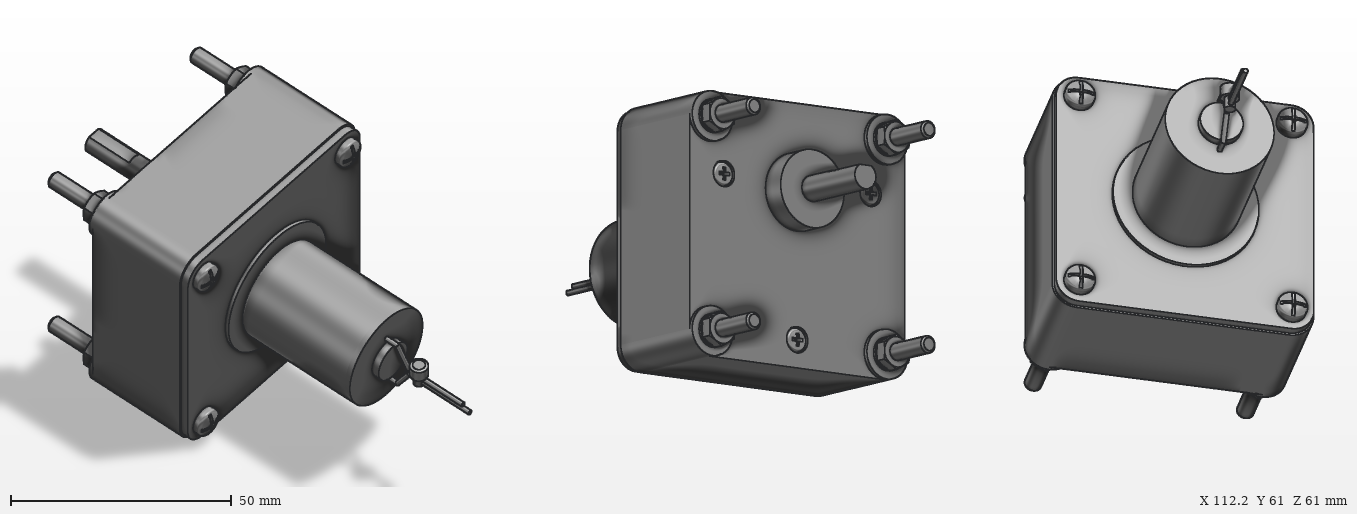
import cadquery as cq
import math


housing_width = 61.0
housing_depth = 26.0
corner_radius = 5.75
cover_width = 60.0
cover_thickness = 2.0
cover_back = housing_depth + cover_thickness
bolt_offset = housing_width / 2 - corner_radius
cover_corner_radius = cover_width / 2 - bolt_offset
bolt_places = [(sy * bolt_offset, sz * bolt_offset) for sy in (-1, 1) for sz in (-1, 1)]
pad_thickness = 1.0

bolt_diameter = 4.0
bolt_tip_x = -16.85
bolt_tip_chamfer = 0.5
washer_diameter = 7.7
washer_thickness = 0.7
washer_front = -pad_thickness - washer_thickness
nut_flats = 7.0
nut_corners = nut_flats / math.cos(math.pi / 6)
nut_height = 3.0
nut_front = washer_front - nut_height
nut_chamfer_angle = math.radians(20)

bolt_head_diameter = 7.0
bolt_crown_diameter = 6.0
bolt_head_rim = 1.1
bolt_head_shoulder = 2.1
bolt_head_height = 2.8
bolt_recess_span = 6.0
bolt_recess_end_depth = 0.75

case_screw_circle = 24.0
case_screw_angles = (30, 150, 270)
counterbore_diameter = 6.0
counterbore_depth = 1.5
case_head_diameter = 5.6
case_crown_diameter = 4.1
case_head_rim = 0.7
case_head_shoulder = 1.5
case_head_height = 1.8
case_recess_span = 3.0
case_recess_end_depth = 0.15

recess_width = 0.7
recess_depth = 1.1

shaft_z = 10.0
boss_diameter = 18.0
boss_height = 5.75
shaft_diameter = 6.0
shaft_length = 20.0
shaft_tip_x = -boss_height - shaft_length
flat_length = 12.0
flat_height = 2.5

flange_diameter = 34.0
flange_thickness = 1.0
can_diameter = 25.4
can_front = cover_back + flange_thickness
can_length = 32.5
can_back = can_front + can_length
can_edge_radius = 0.9
end_cap_length = 1.5
rear_boss_diameter = 10.0
rear_boss_height = 2.0

lead_diameter = 1.18
terminal_z = 6.4
joined_lead_z = 0.6
first_bend_x = 64.9
second_bend_x = 68.4
upper_lead_end = 84.4
lower_lead_end = 86.47
tie_x = 71.25
tie_post_diameter = 2.6
tie_post_bottom = -1.55
tie_head_diameter = 4.3
tie_head_bottom = 1.35
tie_head_top = 4.55
tie_chamfer_width = 0.7
tie_chamfer_height = 0.3


def disc(front_x, back_x, diameter, y=0.0, z=0.0):
    """Cylinder along X between two stations."""
    start = cq.Workplane("YZ", origin=(front_x, y, z))
    return start.circle(diameter / 2).extrude(back_x - front_x)


def housing():
    """Square housing whose rounded corner columns stand proud of the front face as pads."""
    flat_width = 2 * bolt_offset
    body = cq.Workplane("YZ").rect(housing_width, flat_width).extrude(housing_depth)
    body = body.union(cq.Workplane("YZ").rect(flat_width, housing_width).extrude(housing_depth))
    for y, z in bolt_places:
        body = body.union(disc(-pad_thickness, housing_depth, 2 * corner_radius, y, z))
    return body


def cover():
    """Cover plate with rounded corners, slightly smaller than the housing."""
    plate = cq.Workplane("YZ", origin=(housing_depth, 0, 0)).rect(cover_width, cover_width)
    return plate.extrude(cover_thickness).edges("|X").fillet(cover_corner_radius)


def screw_head(diameter, crown_diameter, rim, shoulder, height, recess_span, recess_end_depth):
    """Cross-recessed pan head standing on X = 0 and pointing to +X, centred on the X axis."""
    radius = diameter / 2
    crown_radius = crown_diameter / 2
    bulge = math.sqrt(0.5)
    shoulder_middle = (
        rim + (shoulder - rim) * bulge,
        crown_radius + (radius - crown_radius) * bulge,
    )
    sphere_radius = (crown_radius**2 + (height - shoulder) ** 2) / (2 * (height - shoulder))
    half_radius = crown_radius / 2
    crown_middle = (
        height - sphere_radius + math.sqrt(sphere_radius**2 - half_radius**2),
        half_radius,
    )
    head = (
        cq.Workplane("XY")
        .moveTo(0, 0)
        .lineTo(0, radius)
        .lineTo(rim, radius)
        .threePointArc(shoulder_middle, (shoulder, crown_radius))
        .threePointArc(crown_middle, (height, 0))
        .close()
        .revolve(360, (0, 0, 0), (1, 0, 0))
    )
    floor_middle = height - recess_depth
    floor_end = height - recess_end_depth
    half_span = recess_span / 2
    arm = (
        cq.Workplane("XY")
        .polyline([
            (floor_middle, 0),
            (floor_end, half_span),
            (height, half_span),
            (height, -half_span),
            (floor_end, -half_span),
        ])
        .close()
        .extrude(recess_width / 2, both=True)
    )
    return head.cut(arm).cut(arm.rotate((0, 0, 0), (1, 0, 0), 90))


def nut(y, z):
    """Hexagon nut, points up and down, with both ends chamfered on a cone."""
    corner_radius_of_hex = nut_corners / 2
    face_radius = nut_flats / 2
    chamfer = (corner_radius_of_hex - face_radius) * math.tan(nut_chamfer_angle)
    hexagon = (
        cq.Workplane("YZ")
        .polygon(6, nut_corners)
        .extrude(nut_height)
        .rotate((0, 0, 0), (1, 0, 0), 90)
    )
    envelope = (
        cq.Workplane("XY")
        .polyline([
            (0, 0),
            (0, face_radius),
            (chamfer, corner_radius_of_hex),
            (nut_height - chamfer, corner_radius_of_hex),
            (nut_height, face_radius),
            (nut_height, 0),
        ])
        .close()
        .revolve(360, (0, 0, 0), (1, 0, 0))
    )
    return hexagon.intersect(envelope).translate((nut_front, y, z))


def corner_hardware(y, z):
    """Washer, nut, threaded end and back head of one corner bolt."""
    threaded_end = disc(bolt_tip_x, washer_front, bolt_diameter, y, z).faces("<X").chamfer(bolt_tip_chamfer)
    head = screw_head(
        bolt_head_diameter,
        bolt_crown_diameter,
        bolt_head_rim,
        bolt_head_shoulder,
        bolt_head_height,
        bolt_recess_span,
        bolt_recess_end_depth,
    )
    return [
        disc(washer_front, -pad_thickness, washer_diameter, y, z),
        nut(y, z),
        threaded_end,
        head.translate((cover_back, y, z)),
    ]


def output_shaft():
    """Shaft with a flat on top of its free end."""
    shaft = disc(shaft_tip_x, 0, shaft_diameter, 0, shaft_z)
    flat_cut = cq.Workplane("XY").box(
        flat_length, shaft_diameter, shaft_diameter, centered=(False, True, False)
    )
    return shaft.cut(flat_cut.translate((shaft_tip_x, 0, shaft_z + flat_height)))


def make_gearbox():
    body = housing().union(cover())
    body = body.union(disc(-boss_height, 0, boss_diameter, 0, shaft_z))
    body = body.union(output_shaft())
    for y, z in bolt_places:
        for piece in corner_hardware(y, z):
            body = body.union(piece)

    head = screw_head(
        case_head_diameter,
        case_crown_diameter,
        case_head_rim,
        case_head_shoulder,
        case_head_height,
        case_recess_span,
        case_recess_end_depth,
    ).rotate((0, 0, 0), (0, 0, 1), 180)
    for angle in case_screw_angles:
        y = case_screw_circle * math.cos(math.radians(angle))
        z = case_screw_circle * math.sin(math.radians(angle))
        body = body.cut(disc(0, counterbore_depth, counterbore_diameter, y, z))
        body = body.union(head.translate((counterbore_depth, y, z)))
    return body


def lead(side, end_x):
    """Lead wire: straight out of the motor, in towards the axis, then straight to its end."""
    path = cq.Workplane("XZ").polyline([
        (can_back, side * terminal_z),
        (first_bend_x, side * terminal_z),
        (second_bend_x, side * joined_lead_z),
        (end_x, side * joined_lead_z),
    ])
    section = cq.Workplane("YZ", origin=(can_back, 0, side * terminal_z)).circle(lead_diameter / 2)
    return section.sweep(path, transition="right")


def cable_tie():
    """Upright post through both leads with a wider chamfered head on top."""
    post = (
        cq.Workplane("XY", origin=(tie_x, 0, tie_post_bottom))
        .circle(tie_post_diameter / 2)
        .extrude(tie_head_bottom - tie_post_bottom)
    )
    head = (
        cq.Workplane("XY", origin=(tie_x, 0, tie_head_bottom))
        .circle(tie_head_diameter / 2)
        .extrude(tie_head_top - tie_head_bottom)
        .faces(">Z")
        .chamfer(tie_chamfer_height, tie_chamfer_width)
    )
    return post.union(head)


def make_motor():
    can = disc(can_front, can_back - end_cap_length, can_diameter)
    can = can.faces("<X").edges().fillet(can_edge_radius)
    body = disc(cover_back, can_front, flange_diameter).union(can)
    body = body.union(disc(can_back, can_back + rear_boss_height, rear_boss_diameter))
    body = body.union(lead(1, upper_lead_end))
    body = body.union(lead(-1, lower_lead_end))
    body = body.union(cable_tie())
    end_cap = disc(can_back - end_cap_length, can_back, can_diameter)
    return body.union(end_cap, clean=False)


gearbox = make_gearbox()
motor = make_motor()
result = cq.Compound.makeCompound([gearbox.solids().val(), motor.solids().val()])